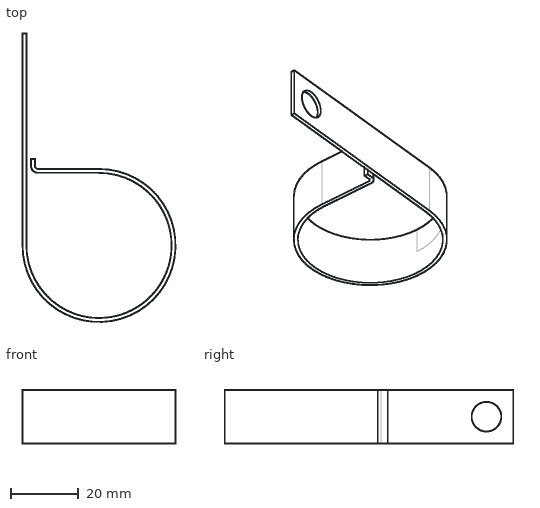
import cadquery as cq

strip_width = 15.88
thickness = 1.22

outer_radius = 45.29 / 2
inner_radius = outer_radius - thickness

overall_length = 85.33
leg_end = overall_length - outer_radius

lip_gap = 1.3
lip_left = -inner_radius + lip_gap
lip_right = lip_left + thickness
lip_end = 25.6
bend_inner_radius = 0.9
bend_outer_radius = bend_inner_radius + thickness

hole_diameter = 8.7
hole_from_end = strip_width / 2


def make_strip():
    """Bent strip: leg, three-quarter loop, flat return and lip."""
    profile = (
        cq.Workplane("XY")
        .moveTo(-outer_radius, leg_end)
        .lineTo(-outer_radius, 0)
        .radiusArc((0, -outer_radius), -outer_radius)
        .radiusArc((outer_radius, 0), -outer_radius)
        .radiusArc((0, outer_radius), -outer_radius)
        .lineTo(lip_right + bend_inner_radius, outer_radius)
        .radiusArc((lip_right, outer_radius + bend_inner_radius), bend_inner_radius)
        .lineTo(lip_right, lip_end)
        .lineTo(lip_left, lip_end)
        .lineTo(lip_left, inner_radius + bend_outer_radius)
        .radiusArc((lip_left + bend_outer_radius, inner_radius), -bend_outer_radius)
        .lineTo(0, inner_radius)
        .radiusArc((inner_radius, 0), inner_radius)
        .radiusArc((0, -inner_radius), inner_radius)
        .radiusArc((-inner_radius, 0), inner_radius)
        .lineTo(-inner_radius, leg_end)
        .close()
    )
    return profile.extrude(strip_width / 2, both=True)


def make_hole_cutter():
    """Cylinder along X through the leg only."""
    return (
        cq.Workplane("YZ", origin=(-outer_radius, 0, 0))
        .center(leg_end - hole_from_end, 0)
        .circle(hole_diameter / 2)
        .extrude(thickness)
    )


result = make_strip().cut(make_hole_cutter())